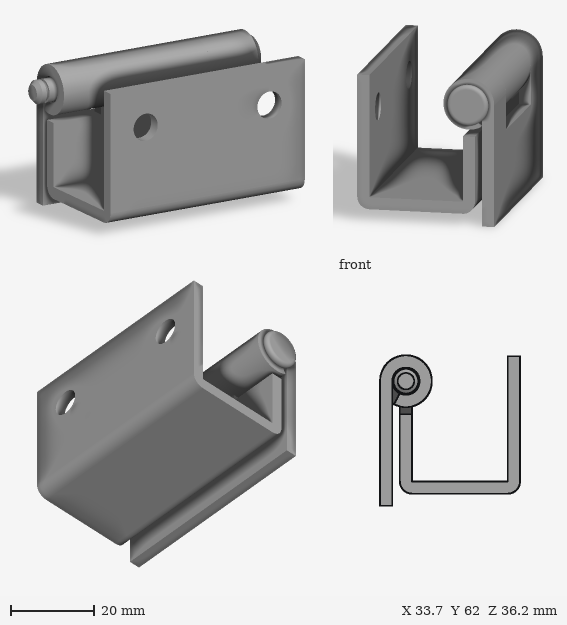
import cadquery as cq
import math

leaf_length = 55.0
thickness = 3.0
knuckle_radius = 6.25
bore_radius = knuckle_radius - thickness
middle_knuckle_length = 28.1

flat_leaf_bottom = -30.0
curl_end_angle = math.radians(243)
window_bottom = -9.0

channel_right = 27.45
channel_bottom = -27.1
channel_top = 6.0
short_wall_top = -8.0
bend_radius = thickness
hole_diameter = 6.8
hole_edge_distance = 10.0

pin_radius = 3.0
groove_radius = 2.5
pin_tip_length = 5.0
groove_start = 2.05
groove_end = 2.8
tip_chamfer = 1.0
head_radius = 5.0
head_height = 2.0


def box(x_min, x_max, y_length, z_min, z_max):
    """Box spanning the given X and Z ranges, centred on Y = 0."""
    return (
        cq.Workplane("XY")
        .box(x_max - x_min, y_length, z_max - z_min, centered=(False, True, False))
        .translate((x_min, 0, z_min))
    )


def cylinder(radius, length):
    """Cylinder on the pin axis, centred on Y = 0."""
    return cq.Workplane("XZ").circle(radius).extrude(length / 2, both=True)


def make_flat_leaf():
    """Flat plate whose top edge curls over the pin, with a window for the middle knuckle."""
    cos_end = math.cos(curl_end_angle)
    sin_end = math.sin(curl_end_angle)
    middle_angle = (math.pi + curl_end_angle - 2 * math.pi) / 2
    cos_mid = math.cos(middle_angle)
    sin_mid = math.sin(middle_angle)
    leaf = (
        cq.Workplane("XZ")
        .moveTo(-knuckle_radius, flat_leaf_bottom)
        .lineTo(-knuckle_radius, 0)
        .threePointArc(
            (knuckle_radius * cos_mid, knuckle_radius * sin_mid),
            (knuckle_radius * cos_end, knuckle_radius * sin_end),
        )
        .lineTo(bore_radius * cos_end, bore_radius * sin_end)
        .threePointArc((bore_radius * cos_mid, bore_radius * sin_mid), (-bore_radius, 0))
        .lineTo(-bore_radius, flat_leaf_bottom)
        .close()
        .extrude(leaf_length / 2, both=True)
    )
    window = box(-knuckle_radius, knuckle_radius, middle_knuckle_length, window_bottom, knuckle_radius)
    return leaf.cut(window)


def make_channel_leaf():
    """U-shaped channel whose short wall carries the middle knuckle on a tab."""
    channel_left = -thickness / 2
    short_wall_right = thickness / 2
    tall_wall_left = channel_right - thickness
    floor_top = channel_bottom + thickness

    floor = box(channel_left, channel_right, leaf_length, channel_bottom, floor_top)
    short_wall = box(channel_left, short_wall_right, leaf_length, channel_bottom, short_wall_top)
    tall_wall = box(tall_wall_left, channel_right, leaf_length, channel_bottom, channel_top)
    channel = floor.union(short_wall).union(tall_wall).faces("<Z").edges("|Y").fillet(bend_radius)

    tab = box(channel_left, short_wall_right, middle_knuckle_length, short_wall_top, 0)
    knuckle = cylinder(knuckle_radius, middle_knuckle_length)
    bore = cylinder(bore_radius, middle_knuckle_length)
    leaf = channel.union(tab).union(knuckle).cut(bore)

    hole_y = leaf_length / 2 - hole_edge_distance
    holes = (
        cq.Workplane("YZ", origin=(tall_wall_left, 0, 0))
        .pushPoints([(-hole_y, channel_top - hole_edge_distance), (hole_y, channel_top - hole_edge_distance)])
        .circle(hole_diameter / 2)
        .extrude(thickness)
    )
    return leaf.cut(holes)


def make_pin():
    """Pin with a rounded head at +Y and a grooved, chamfered tip at -Y."""
    leaf_front = -leaf_length / 2
    leaf_back = leaf_length / 2
    tip_end = leaf_front - pin_tip_length
    head_flat_radius = head_radius - head_height / 2
    return (
        cq.Workplane("XY")
        .moveTo(0, tip_end)
        .lineTo(pin_radius - tip_chamfer, tip_end)
        .lineTo(pin_radius, tip_end + tip_chamfer)
        .lineTo(pin_radius, leaf_front - groove_end)
        .lineTo(groove_radius, leaf_front - groove_end)
        .lineTo(groove_radius, leaf_front - groove_start)
        .lineTo(pin_radius, leaf_front - groove_start)
        .lineTo(pin_radius, leaf_back)
        .lineTo(head_flat_radius, leaf_back)
        .threePointArc((head_radius, leaf_back + head_height / 2), (head_flat_radius, leaf_back + head_height))
        .lineTo(0, leaf_back + head_height)
        .close()
        .revolve(360, (0, 0, 0), (0, 1, 0))
    )


flat_leaf = make_flat_leaf()
channel_leaf = make_channel_leaf()
pin = make_pin()

result = cq.Compound.makeCompound([flat_leaf.val(), channel_leaf.val(), pin.val()])